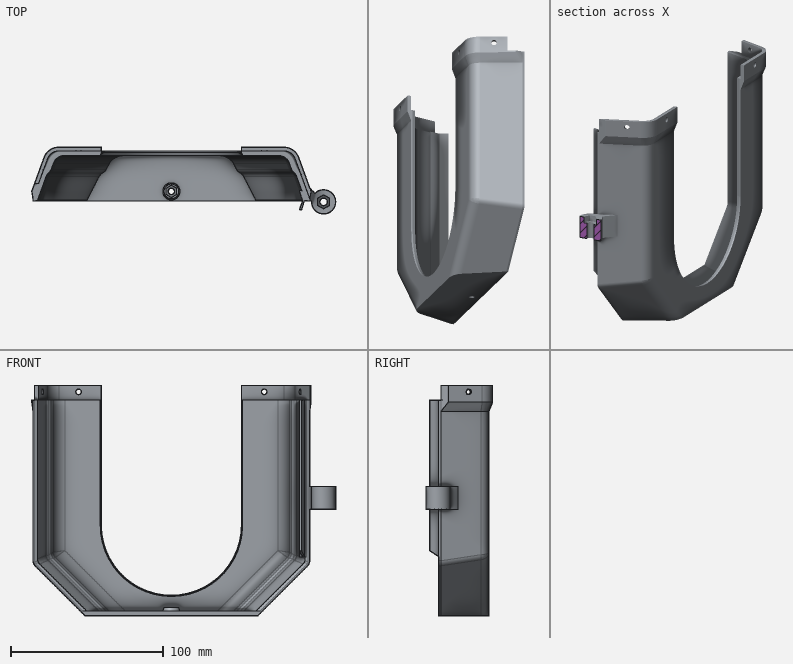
import cadquery as cq
import math

TOP_Z = 151.5
SHELL_TOP_Z = 141.7
BACK_Y = 33.0
FLOOR_Y = 30.0
WALL_TILT = 20.0
LEAN = math.tan(math.radians(WALL_TILT))
MITRE = math.tan(math.radians(22.5))
FAR = 60.0

RIM_HALF_WIDTH = 91.5
BASE_HALF_WIDTH = 57.5
CORNER_Z = RIM_HALF_WIDTH - BASE_HALF_WIDTH
RIM_TRIM = 0.5
RIM_HEIGHT = RIM_TRIM / LEAN
SIDE_X = RIM_HALF_WIDTH - RIM_TRIM
BASE_THICKNESS = 3.0
CORNER_RADIUS = 5.0
BACK_RADIUS = 8.0

WALL_INSET = 3.3
RIM_LAND = 1.1
RIM_BEVEL_DEPTH = 0.6
STEP_START_Y = 17.55
STEP_END_Y = 19.45
STEP_WIDTH = 2.3
STEP_TILT = math.degrees(math.atan(STEP_WIDTH / (STEP_END_Y - STEP_START_Y)))
STEP_RADIUS = 5.4

OPENING_RADIUS = 46.0
OPENING_CENTER_Z = 59.5
OPENING_CHAMFER_WIDTH = 0.8
OPENING_CHAMFER_DEPTH = 2.0

COLLAR_THICKNESS = 2.5
COLLAR_HALF_WIDTH = 91.8
COLLAR_TRIM_Y = 6.2
COLLAR_BOTTOM_Z = 140.5
FLARE_BOTTOM_Z = 134.2
LEFT_COLLAR_END_Y = 11.5
COLLAR_HOLE_DIAMETER = 3.5
COLLAR_HOLE_Z = 147.2
BACK_HOLE_X = 61.0
SIDE_HOLE_Y = 19.0

BOSS_Y = 6.4
BOSS_BASE_DIAMETER = 11.3
BOSS_TOP_DIAMETER = 9.6
BOSS_HEIGHT = 2.5
BOSS_HOLE_DIAMETER = 4.0
BOSS_NUT_FLATS = 7.0
BOSS_NUT_DEPTH = 2.5

HINGE_RADIUS = 8.0
HINGE_X = 100.06
HINGE_Y = -0.5
HINGE_BOTTOM_Z = 70.0
HINGE_HEIGHT = 15.0
HINGE_HOLE_DIAMETER = 4.8
HINGE_NUT_FLATS = 8.0
HINGE_NUT_DEPTH = 4.0
HINGE_WEB_Y = 12.7
HINGE_WEB_ANGLE = 135.0

LIP_TIP_Y = -5.9
LIP_PROFILE = [(84.1, 6.8), (86.2, 0.0), (84.1, -5.6), (85.6, LIP_TIP_Y), (87.4, 0.0), (88.4, 0.5), (87.0, 6.8)]
LIP_BOTTOM_Z = 38.8
LIP_BEVEL_HEIGHT = 4.0


def slab(z0, z1):
    """Block wider than the part, between two heights."""
    size = 10 * FAR
    return cq.Workplane("XY", origin=(0, 0, z0)).rect(size, size).extrude(z1 - z0)


def wall_block(inset, y0, y1, tilt):
    """Solid bounded by the side and 45 degree walls, leaning inward from y0 to y1."""
    half = RIM_HALF_WIDTH - inset
    corner = CORNER_Z + inset * MITRE
    top = TOP_Z + FAR - inset
    plane = cq.Plane(origin=(0, y0, 0), xDir=(-1, 0, 0), normal=(0, 1, 0))
    points = [(half, top), (half, corner), (0, corner - half), (-half, corner), (-half, top)]
    return cq.Workplane(plane).polyline(points).close().extrude(y1 - y0, taper=tilt)


def is_corner(edge):
    """True for the edges where a side wall meets a 45 degree wall."""
    middle = edge.Center()
    inset = RIM_HALF_WIDTH - abs(middle.x)
    on_mitre = abs(middle.z - CORNER_Z - inset * MITRE) < 1.0
    return on_mitre and abs(edge.tangentAt(0.5).y) > 0.1


def round_corners(body):
    corners = [edge for edge in body.edges().vals() if is_corner(edge)]
    return body.newObject(corners).fillet(CORNER_RADIUS)


def step_edges(body):
    """Edges along both ends of the step in the inner wall."""
    def on_step(edge):
        box = edge.BoundingBox()
        flat = box.ylen < 0.01
        return flat and min(abs(box.ymin - STEP_START_Y), abs(box.ymin - STEP_END_Y)) < 0.01
    return body.newObject([edge for edge in body.edges().vals() if on_step(edge)])


def outer_body():
    body = round_corners(wall_block(0, 0, BACK_Y, WALL_TILT))
    body = body.faces(">Y").edges().fillet(BACK_RADIUS)
    return body.intersect(round_corners(wall_block(RIM_TRIM, 0, BACK_Y, 0)))


def cavity():
    step_start_inset = WALL_INSET + STEP_START_Y * LEAN
    body = wall_block(WALL_INSET, 0, STEP_START_Y, WALL_TILT)
    body = body.union(wall_block(step_start_inset, STEP_START_Y, STEP_END_Y, STEP_TILT))
    body = body.union(wall_block(step_start_inset + STEP_WIDTH, STEP_END_Y, FLOOR_Y, WALL_TILT))
    body = body.faces(">Y").edges().fillet(BACK_RADIUS)
    body = round_corners(step_edges(body).fillet(STEP_RADIUS))
    bevel_start = RIM_TRIM + RIM_LAND
    bevel_width = WALL_INSET + RIM_BEVEL_DEPTH * LEAN - bevel_start
    bevel_tilt = math.degrees(math.atan(bevel_width / RIM_BEVEL_DEPTH))
    return body.union(round_corners(wall_block(bevel_start, 0, RIM_BEVEL_DEPTH, bevel_tilt)))


def u_prism(radius, y0, y1, end_radius):
    """U-shaped cutter whose radius changes from y0 to y1."""
    def wire(r, y):
        plane = cq.Workplane("XZ", origin=(0, y, 0))
        return (plane.moveTo(-r, TOP_Z + FAR).lineTo(-r, OPENING_CENTER_Z)
                .threePointArc((0, OPENING_CENTER_Z - r), (r, OPENING_CENTER_Z))
                .lineTo(r, TOP_Z + FAR).close().wires().val())
    return cq.Workplane(cq.Solid.makeLoft([wire(radius, y0), wire(end_radius, y1)], True))


def opening():
    chamfer = u_prism(OPENING_RADIUS + OPENING_CHAMFER_WIDTH, FLOOR_Y,
                      FLOOR_Y + OPENING_CHAMFER_DEPTH, OPENING_RADIUS)
    return u_prism(OPENING_RADIUS, 0, BACK_Y + FAR, OPENING_RADIUS).union(chamfer)


def level_section(offset, z):
    """Horizontal outline of the straight walls, grown square to its faces."""
    tilt = math.radians(WALL_TILT)
    back = BACK_Y + offset
    radius = BACK_RADIUS + offset
    rim_x = RIM_HALF_WIDTH + offset / math.cos(tilt)
    tangent = radius * math.tan((math.pi / 2 - tilt) / 2)
    edge_x = rim_x - back * LEAN
    arc_end = (edge_x + tangent * math.sin(tilt), back - tangent * math.cos(tilt))
    arc_start = (edge_x - tangent, back)
    center = (arc_start[0], back - radius)
    middle_angle = (math.pi / 2 + tilt) / 2
    arc_middle = (center[0] + radius * math.cos(middle_angle), center[1] + radius * math.sin(middle_angle))
    mirrored = [(-x, y) for x, y in (arc_start, arc_middle, arc_end)]
    return (cq.Workplane("XY", origin=(0, 0, z)).moveTo(-rim_x, 0).lineTo(rim_x, 0)
            .lineTo(*arc_end).threePointArc(arc_middle, arc_start)
            .lineTo(*mirrored[0]).threePointArc(mirrored[1], mirrored[2]).close())


def collar():
    """Band around the outside of the top, flaring out of the walls below it."""
    band = level_section(COLLAR_THICKNESS, COLLAR_BOTTOM_Z).extrude(TOP_Z - COLLAR_BOTTOM_Z)
    flare_wires = [level_section(0, FLARE_BOTTOM_Z).wires().val(),
                   level_section(COLLAR_THICKNESS, COLLAR_BOTTOM_Z).wires().val()]
    flare = cq.Workplane(cq.Solid.makeLoft(flare_wires, True))
    height = TOP_Z - FLARE_BOTTOM_Z
    inside = level_section(0, FLARE_BOTTOM_Z).extrude(height)
    limits = (cq.Workplane("XY", origin=(0, 0, FLARE_BOTTOM_Z))
              .polyline([(-SIDE_X, RIM_HEIGHT), (SIDE_X, RIM_HEIGHT), (COLLAR_HALF_WIDTH, COLLAR_TRIM_Y),
                         (COLLAR_HALF_WIDTH, FAR), (-COLLAR_HALF_WIDTH, FAR),
                         (-COLLAR_HALF_WIDTH, COLLAR_TRIM_Y)])
              .close().extrude(height))
    left_end = (cq.Workplane("XY", origin=(-RIM_HALF_WIDTH, 0, SHELL_TOP_Z))
                .rect(FAR, 2 * LEFT_COLLAR_END_Y).extrude(TOP_Z - SHELL_TOP_Z))
    return band.union(flare).cut(inside).intersect(limits).cut(left_end)


def collar_holes():
    """Two holes through the back and one square to each leaning side."""
    radius = COLLAR_HOLE_DIAMETER / 2
    wall_x = RIM_HALF_WIDTH - SIDE_HOLE_Y * LEAN
    tilt = math.radians(WALL_TILT)
    reach = 4 * COLLAR_THICKNESS
    holes = cq.Workplane("XY")
    for side in (-1, 1):
        back = cq.Solid.makeCylinder(radius, FAR, cq.Vector(side * BACK_HOLE_X, FLOOR_Y, COLLAR_HOLE_Z),
                                     cq.Vector(0, 1, 0))
        outward = cq.Vector(side * math.cos(tilt), math.sin(tilt), 0)
        start = cq.Vector(side * wall_x, SIDE_HOLE_Y, COLLAR_HOLE_Z) - outward * (reach / 2)
        holes = holes.add(back).add(cq.Solid.makeCylinder(radius, reach, start, outward))
    return holes.combine()


def hexagon(x, y, z, flats, depth):
    """Nut pocket with corners toward +Y and -Y, sunk below height z."""
    nut = cq.Workplane("XY").polygon(6, flats / math.cos(math.pi / 6)).extrude(-depth)
    return nut.rotate((0, 0, 0), (0, 0, 1), 30).translate((x, y, z))


def hinge():
    """Barrel with a through hole and nut pocket, joined to the wall by a web."""
    barrel = (cq.Workplane("XY", origin=(HINGE_X, HINGE_Y, HINGE_BOTTOM_Z))
              .circle(HINGE_RADIUS).extrude(HINGE_HEIGHT))
    web_angle = math.radians(HINGE_WEB_ANGLE)
    web_top = (HINGE_X + HINGE_RADIUS * math.cos(web_angle), HINGE_Y + HINGE_RADIUS * math.sin(web_angle))
    wall_x = RIM_HALF_WIDTH - HINGE_WEB_Y * LEAN
    web = (cq.Workplane("XY", origin=(0, 0, HINGE_BOTTOM_Z))
           .polyline([(wall_x, HINGE_WEB_Y), web_top,
                      (HINGE_X, HINGE_Y), (SIDE_X, 0)])
           .close().extrude(HINGE_HEIGHT))
    hole = (cq.Workplane("XY", origin=(HINGE_X, HINGE_Y, HINGE_BOTTOM_Z))
            .circle(HINGE_HOLE_DIAMETER / 2).extrude(HINGE_HEIGHT))
    nut = hexagon(HINGE_X, HINGE_Y, HINGE_BOTTOM_Z + HINGE_HEIGHT, HINGE_NUT_FLATS, HINGE_NUT_DEPTH)
    return barrel.union(web).cut(hole).cut(nut)


def boss():
    return (cq.Workplane("XY", origin=(0, BOSS_Y, BASE_THICKNESS)).circle(BOSS_BASE_DIAMETER / 2)
            .workplane(offset=BOSS_HEIGHT).circle(BOSS_TOP_DIAMETER / 2).loft())


def boss_hole():
    top = BASE_THICKNESS + BOSS_HEIGHT
    hole = cq.Workplane("XY", origin=(0, BOSS_Y, 0)).circle(BOSS_HOLE_DIAMETER / 2).extrude(top)
    return hole.union(hexagon(0, BOSS_Y, top, BOSS_NUT_FLATS, BOSS_NUT_DEPTH))


def lip():
    """Thin strip inside the right-hand wall, bevelled at its lower end."""
    strip = (cq.Workplane("XY", origin=(0, 0, LIP_BOTTOM_Z)).polyline(LIP_PROFILE).close()
             .extrude(SHELL_TOP_Z - LIP_BOTTOM_Z))
    bevel = (cq.Workplane("YZ").polyline([(0, LIP_BOTTOM_Z), (LIP_TIP_Y, LIP_BOTTOM_Z),
                                          (LIP_TIP_Y, LIP_BOTTOM_Z + LIP_BEVEL_HEIGHT)])
             .close().extrude(2 * RIM_HALF_WIDTH))
    return strip.cut(bevel)


shell = outer_body().intersect(slab(0, SHELL_TOP_Z))
shell = shell.cut(cavity().intersect(slab(BASE_THICKNESS, TOP_Z)))
shell = shell.union(collar()).cut(opening()).cut(collar_holes())
result = shell.union(boss()).cut(boss_hole()).union(hinge()).union(lip())